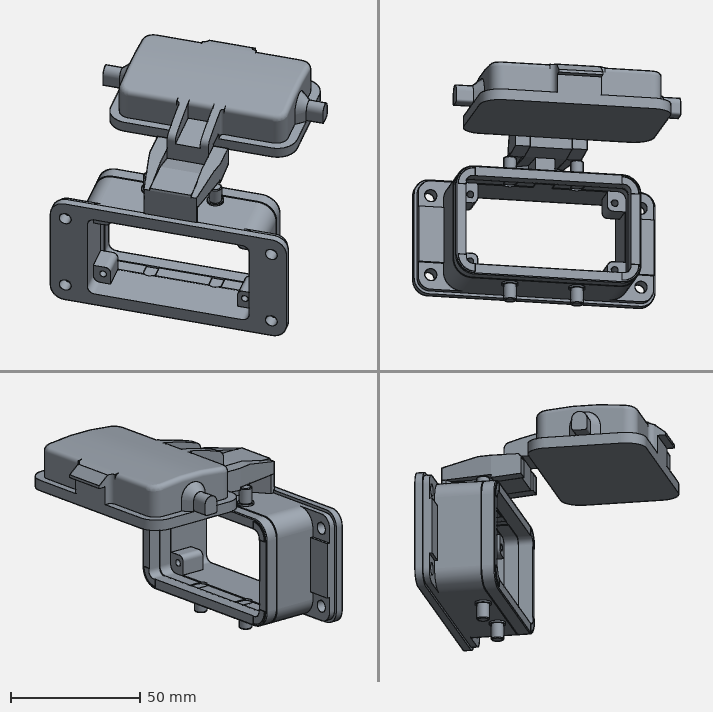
import cadquery as cq
import math


FLANGE_WIDTH = 95.0
FLANGE_HEIGHT = 45.9
FLANGE_RADIUS = 5.9
FLANGE_THICKNESS = 3.0
STEP_INSET = 1.1
STEP_END = 5.5
PAD_END = 6.65
PAD_HEIGHT = 22.2
MOUNT_HOLE_DIA = 4.75
MOUNT_SPACING_X = 82.9
MOUNT_SPACING_Z = 31.8

HOUSING_WIDTH = 73.1
HOUSING_HEIGHT = FLANGE_HEIGHT - 2 * STEP_INSET
HOUSING_RADIUS = 7.4
HOUSING_END = 29.3
REAR_CHAMFER = 0.4
SEAM_Y = 23.75
SEAM_WIDTH = 0.3
SEAM_DEPTH = 0.2
OPENING_WIDTH = 65.0
OPENING_HEIGHT = 35.5
OPENING_RADIUS = 2.85
RECESS_START = 18.05
RECESS_DEPTH = 0.4
PIN_POCKET_DEPTH = 0.8
REAR_PAD_HEIGHT = 0.3
REAR_PAD_INSET = 0.95
REAR_PAD_LEG = 6.65

BOSS_WIDTH = 6.9
BOSS_HEIGHT = 7.6
BOSS_RADIUS = 2.2
BOSS_START = 7.9
SCREW_HOLE_DIA = 2.7
SCREW_X = 28.5
SCREW_Z = 13.5

PIN_X = 13.2
PIN_Y = 19.7
PIN_DIA = 4.9
PIN_TIP_Z = 28.8
PIN_CHAMFER = 0.4
COLLAR_DIA = 6.4
COLLAR_TOP_Z = 22.5

BRACKET_FRONT = 2.7
BRACKET_HALF_WIDTH = 14.2
BRACKET_FRONT_HALF_WIDTH = 10.5
TAPER_START_Y = 23.0
CHEEK_BACK = 34.8
CHEEK_TOP = 37.4
CHEEK_BACK_TOP = 37.2
CHEEK_CHAMFER = 0.95
CHEEK_FRONT_TOP = 34.6
CHEEK_SLOPE_Y = 17.6
CHEEK_BACK_BOTTOM = 29.3
CHEEK_MID_BOTTOM = 28.3
TAPER_BOTTOM = 29.5
SEAT_TOP = 35.3
SEAT_BACK_Y = 17.4
SEAT_LOW_Y = 25.0
SEAT_LOW_Z = 33.3
SEAT_EDGE_HEIGHT = 0.95
SEAT_EDGE_DEPTH = 0.3
WEB_BACK = 23.2
WEB_FLARE_START = 9.4
WEB_FLARE_END = 4.4
WEB_HALF_WIDTH = 3.8

COVER_WIDTH = 75.1
COVER_FRONT = 41.0
COVER_BACK = 87.6
COVER_RADIUS = 8.1
COVER_BOTTOM = 31.3
RIM_TOP = 35.5
LID_INSET_X = 3.7
LID_INSET_Y = 3.2
LID_RADIUS = 4.75
LID_EDGE_RADIUS = 2.1
DOME_PEAK = 49.3
DOME_RADIUS = 119.7

LATCH_WIDTH = 17.4
LATCH_TIP_Y = 90.6
LATCH_TIP_TOP = 43.9
LATCH_TIP_BOTTOM = 42.75
LATCH_SLOPE_Y = 86.3
LATCH_BLEND = 2.2

ARM_WIDTH = 16.6
ARM_FRONT = 26.8
ARM_NOTCH_Y = 33.9
ARM_NOTCH_TOP = 38.0
ARM_BOTTOM = 32.9
ARM_NOSE_RADIUS = 2.85
ARM_NOTCH_RADIUS = 0.7
ARM_BLEND = 1.2
ARM_SLOT_WIDTH = 10.0
ARM_SLOT_FLOOR = 40.4

LUG_TIP_X = 44.3
LUG_RADIUS = 3.0
LUG_CENTRE_Z = 40.0
LUG_BASE_RADIUS = 6.1
LUG_EDGE_RADIUS = 0.95

SIDES = (-1, 1)
cover_mid_y = (COVER_FRONT + COVER_BACK) / 2
lid_width = COVER_WIDTH - 2 * LID_INSET_X
lid_front = COVER_FRONT + LID_INSET_Y
lid_back = COVER_BACK - LID_INSET_Y
dome_centre_z = DOME_PEAK - DOME_RADIUS

dome = cq.Workplane("YZ").center(cover_mid_y, dome_centre_z).circle(DOME_RADIUS)
dome = dome.extrude(COVER_WIDTH, both=True)


def slab(width, height, radius, y_start, y_end):
    """Plate parallel to the mounting face with rounded corners."""
    plate = cq.Workplane("XZ", origin=(0, y_start, 0)).rect(width, height)
    return plate.extrude(y_start - y_end).edges("|Y").fillet(radius)


def side_extrusion(points, half_width):
    """Side outline of (y, z) points extruded symmetrically about X = 0."""
    return cq.Workplane("YZ").polyline(points).close().extrude(half_width, both=True)


def dome_z(y):
    """Height of the cover's curved top at a given Y."""
    return dome_centre_z + math.sqrt(DOME_RADIUS**2 - (y - cover_mid_y) ** 2)


def y_holes(spacing_x, spacing_z, diameter):
    """Four holes along Y, clear through the housing."""
    holes = cq.Workplane("XZ").rect(spacing_x, spacing_z, forConstruction=True).vertices()
    return holes.circle(diameter / 2).extrude(-HOUSING_END)


def make_flange():
    step_width = FLANGE_WIDTH - 2 * STEP_INSET
    plate = slab(FLANGE_WIDTH, FLANGE_HEIGHT, FLANGE_RADIUS, 0, FLANGE_THICKNESS)
    step = slab(step_width, HOUSING_HEIGHT, FLANGE_RADIUS - STEP_INSET, 0, STEP_END)
    pad = cq.Workplane("XZ").rect(step_width, PAD_HEIGHT).extrude(-PAD_END)
    return plate.union(step).union(pad)


def make_rear_pads():
    """Low raised pads on the four corners of the rear rim."""
    rim_width = HOUSING_WIDTH - 2 * REAR_PAD_INSET
    rim_height = HOUSING_HEIGHT - 2 * REAR_PAD_INSET
    top = HOUSING_END + REAR_PAD_HEIGHT
    rim = slab(rim_width, rim_height, HOUSING_RADIUS - REAR_PAD_INSET, SEAM_Y, top)
    corners = cq.Workplane("XZ").rect(rim_width, rim_height, forConstruction=True).vertices()
    return rim.intersect(corners.rect(2 * REAR_PAD_LEG, 2 * REAR_PAD_LEG).extrude(-top))


def make_seam():
    """Shallow groove around the housing."""
    outer = cq.Workplane("XZ", origin=(0, SEAM_Y, 0)).rect(FLANGE_WIDTH, FLANGE_HEIGHT)
    outer = outer.extrude(-SEAM_WIDTH)
    core = slab(
        HOUSING_WIDTH - 2 * SEAM_DEPTH,
        HOUSING_HEIGHT - 2 * SEAM_DEPTH,
        HOUSING_RADIUS - SEAM_DEPTH,
        0,
        HOUSING_END,
    )
    return outer.cut(core)


def make_recess():
    """Slight widening of the opening ahead of the seam."""
    growth = 2 * RECESS_DEPTH
    width = OPENING_WIDTH + growth
    return slab(width, OPENING_HEIGHT + growth, OPENING_RADIUS + RECESS_DEPTH, RECESS_START, SEAM_Y)


def make_screw_bosses():
    """Square bosses filling the corners of the opening."""
    frame = slab(OPENING_WIDTH, OPENING_HEIGHT, OPENING_RADIUS, BOSS_START, RECESS_START)
    corners = cq.Workplane("XZ").rect(OPENING_WIDTH, OPENING_HEIGHT, forConstruction=True).vertices()
    blocks = corners.rect(2 * BOSS_WIDTH, 2 * BOSS_HEIGHT).extrude(-HOUSING_END)
    return frame.intersect(blocks.edges("|Y").fillet(BOSS_RADIUS))


def make_pins():
    """Locking pins with collars, standing out above and below."""
    spots = [(side * PIN_X, PIN_Y) for side in SIDES]
    wall_z = OPENING_HEIGHT / 2 + PIN_POCKET_DEPTH
    base = cq.Workplane("XY", origin=(0, 0, wall_z)).pushPoints(spots)
    pins = base.circle(PIN_DIA / 2).extrude(PIN_TIP_Z - wall_z).faces(">Z").chamfer(PIN_CHAMFER)
    pins = pins.union(base.circle(COLLAR_DIA / 2).extrude(COLLAR_TOP_Z - wall_z))
    return pins.union(pins.mirror("XY"))


def make_pin_pockets():
    """Round-fronted pockets in the opening walls, from under each pin back to the seam."""
    length = SEAM_Y - PIN_Y
    wall = cq.Workplane("XY", origin=(0, 0, OPENING_HEIGHT / 2))
    pockets = wall.pushPoints([(side * PIN_X, PIN_Y) for side in SIDES])
    pockets = pockets.circle(PIN_DIA / 2).extrude(PIN_POCKET_DEPTH)
    channels = wall.pushPoints([(side * PIN_X, PIN_Y + length / 2) for side in SIDES])
    pockets = pockets.union(channels.rect(PIN_DIA, length).extrude(PIN_POCKET_DEPTH))
    trim = cq.Workplane("XZ").rect(HOUSING_WIDTH, HOUSING_HEIGHT).extrude(-SEAM_Y)
    pockets = pockets.intersect(trim)
    return pockets.union(pockets.mirror("XY"))


def make_housing():
    housing = slab(HOUSING_WIDTH, HOUSING_HEIGHT, HOUSING_RADIUS, 0, HOUSING_END)
    housing = housing.faces(">Y").chamfer(REAR_CHAMFER).cut(make_seam())
    housing = housing.union(make_flange()).union(make_rear_pads())
    housing = housing.cut(slab(OPENING_WIDTH, OPENING_HEIGHT, OPENING_RADIUS, 0, 2 * HOUSING_END))
    housing = housing.cut(make_recess()).cut(make_pin_pockets())
    housing = housing.union(make_screw_bosses()).union(make_pins())
    housing = housing.cut(y_holes(MOUNT_SPACING_X, MOUNT_SPACING_Z, MOUNT_HOLE_DIA))
    return housing.cut(y_holes(2 * SCREW_X, 2 * SCREW_Z, SCREW_HOLE_DIA))


def make_bracket():
    head = side_extrusion(
        [
            (BRACKET_FRONT, TAPER_BOTTOM),
            (BRACKET_FRONT, CHEEK_FRONT_TOP),
            (CHEEK_SLOPE_Y, CHEEK_TOP),
            (CHEEK_BACK - CHEEK_CHAMFER, CHEEK_BACK_TOP),
            (CHEEK_BACK, CHEEK_BACK_TOP - CHEEK_CHAMFER),
            (CHEEK_BACK, CHEEK_BACK_BOTTOM),
            (TAPER_START_Y, CHEEK_MID_BOTTOM),
            (TAPER_START_Y, TAPER_BOTTOM),
        ],
        BRACKET_HALF_WIDTH,
    )
    plan = [
        (BRACKET_FRONT_HALF_WIDTH, BRACKET_FRONT),
        (BRACKET_HALF_WIDTH, TAPER_START_Y),
        (BRACKET_HALF_WIDTH, CHEEK_BACK),
    ]
    plan += [(-x, y) for x, y in reversed(plan)]
    head = head.intersect(cq.Workplane("XY").polyline(plan).close().extrude(CHEEK_TOP))

    gap = cq.Workplane("XY").box(ARM_WIDTH, CHEEK_BACK, CHEEK_TOP, centered=(True, False, False))
    seat = side_extrusion(
        [
            (BRACKET_FRONT, TAPER_BOTTOM),
            (BRACKET_FRONT, SEAT_TOP - SEAT_EDGE_HEIGHT),
            (BRACKET_FRONT + SEAT_EDGE_DEPTH, SEAT_TOP),
            (SEAT_BACK_Y, SEAT_TOP),
            (SEAT_LOW_Y, SEAT_LOW_Z),
            (ARM_FRONT, ARM_BOTTOM),
            (ARM_NOTCH_Y, ARM_BOTTOM),
            (ARM_NOTCH_Y, CHEEK_BACK_BOTTOM),
            (TAPER_START_Y, CHEEK_MID_BOTTOM),
        ],
        ARM_WIDTH / 2,
    )

    web = [
        (BRACKET_FRONT_HALF_WIDTH, BRACKET_FRONT),
        (BRACKET_FRONT_HALF_WIDTH, WEB_FLARE_END),
        (WEB_HALF_WIDTH, WEB_FLARE_START),
        (WEB_HALF_WIDTH, WEB_BACK),
    ]
    web += [(-x, y) for x, y in reversed(web)]
    wall_z = OPENING_HEIGHT / 2
    column = cq.Workplane("XY", origin=(0, 0, wall_z)).polyline(web).close()
    return head.cut(gap).union(seat).union(column.extrude(TAPER_BOTTOM - wall_z))


def make_lugs():
    """Arched side lugs, each with a tapered root on the rim."""

    def arch(x, radius):
        plane = cq.Workplane("YZ", origin=(x, cover_mid_y, 0))
        return (
            plane.moveTo(-radius, RIM_TOP)
            .lineTo(-radius, LUG_CENTRE_Z)
            .threePointArc((0, LUG_CENTRE_Z + radius), (radius, LUG_CENTRE_Z))
            .lineTo(radius, RIM_TOP)
            .close()
        )

    wall_x = lid_width / 2
    rim_x = COVER_WIDTH / 2
    lug = arch(wall_x, LUG_RADIUS).extrude(LUG_TIP_X - wall_x)
    lug = lug.faces("<Z").edges("|X").fillet(LUG_EDGE_RADIUS)
    root_wires = [arch(wall_x, LUG_BASE_RADIUS).val(), arch(rim_x, LUG_RADIUS).val()]
    lug = lug.union(cq.Workplane(cq.Solid.makeLoft(root_wires, True)))
    return lug.union(lug.mirror("YZ"))


def make_blends(half_width, wall_y, outward, radius):
    """Upright concave blends between a lid wall and both sides of a projection."""
    blend = (
        cq.Workplane("XY", origin=(0, 0, RIM_TOP))
        .moveTo(half_width, wall_y - outward * LID_EDGE_RADIUS)
        .lineTo(half_width + radius, wall_y - outward * LID_EDGE_RADIUS)
        .lineTo(half_width + radius, wall_y)
        .radiusArc((half_width, wall_y + outward * radius), outward * radius)
        .close()
        .extrude(DOME_PEAK - RIM_TOP)
    )
    return blend.union(blend.mirror("YZ"))


def make_latch():
    """Latch nose, its overhanging tip clear of the rim."""
    outline = [
        (cover_mid_y, RIM_TOP),
        (cover_mid_y, DOME_PEAK),
        (LATCH_SLOPE_Y, DOME_PEAK),
        (LATCH_SLOPE_Y, dome_z(LATCH_SLOPE_Y)),
        (LATCH_TIP_Y, LATCH_TIP_TOP),
        (LATCH_TIP_Y, LATCH_TIP_BOTTOM),
        (COVER_BACK, LATCH_TIP_BOTTOM),
        (COVER_BACK, RIM_TOP),
    ]
    latch = side_extrusion(outline, LATCH_WIDTH / 2)
    return latch.union(make_blends(LATCH_WIDTH / 2, lid_back, 1, LATCH_BLEND)).intersect(dome)


def make_arm():
    """Slotted hinge arm, reaching down onto the bracket seat."""
    outline = [
        (cover_mid_y, RIM_TOP),
        (COVER_FRONT, RIM_TOP),
        (COVER_FRONT, ARM_NOTCH_TOP),
        (ARM_NOTCH_Y, ARM_NOTCH_TOP),
        (ARM_NOTCH_Y, ARM_BOTTOM),
        (ARM_FRONT, ARM_BOTTOM),
        (ARM_FRONT, DOME_PEAK),
        (cover_mid_y, DOME_PEAK),
    ]
    arm = side_extrusion(outline, ARM_WIDTH / 2).intersect(dome)
    nose = cq.selectors.NearestToPointSelector((0, ARM_FRONT, dome_z(ARM_FRONT)))
    arm = arm.edges("|X").edges(nose).fillet(ARM_NOSE_RADIUS)
    notch = cq.selectors.NearestToPointSelector((0, COVER_FRONT, ARM_NOTCH_TOP))
    arm = arm.edges("|X").edges(notch).fillet(ARM_NOTCH_RADIUS)
    slot = cq.Workplane("XY", origin=(0, 0, ARM_SLOT_FLOOR))
    slot = slot.box(ARM_SLOT_WIDTH, COVER_BACK, DOME_PEAK, centered=(True, False, False))
    blends = make_blends(ARM_WIDTH / 2, lid_front, -1, ARM_BLEND).intersect(dome)
    return arm.cut(slot).union(blends)


def make_cover():
    rim = cq.Workplane("XY", origin=(0, cover_mid_y, COVER_BOTTOM))
    rim = rim.rect(COVER_WIDTH, COVER_BACK - COVER_FRONT).extrude(RIM_TOP - COVER_BOTTOM)
    rim = rim.edges("|Z").fillet(COVER_RADIUS)

    lid = cq.Workplane("XY", origin=(0, cover_mid_y, COVER_BOTTOM))
    lid = lid.rect(lid_width, lid_back - lid_front).extrude(DOME_PEAK - COVER_BOTTOM)
    lid = lid.edges("|Z").fillet(LID_RADIUS).intersect(dome)
    lid = lid.faces(">Z").edges().fillet(LID_EDGE_RADIUS)
    return lid.union(make_latch()).union(make_arm()).union(rim).union(make_lugs())


result = make_housing().union(make_bracket()).union(make_cover()).clean()